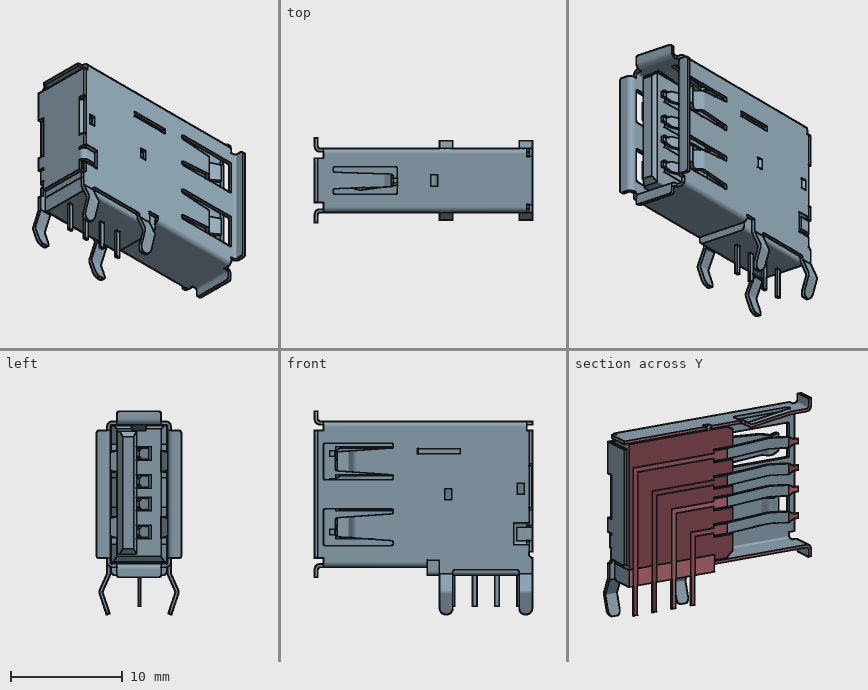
import cadquery as cq
import math


length = 19.5
sheet = 0.31
half_width = 2.87
half_height = 6.53
corner_radius = 0.49
inner_y = half_width - sheet
inner_z = half_height - sheet
overlap = 0.2
through = 19.5

box_front = 0.8
box_rear = 19.0
side_rear = length - sheet
flange_reach_y = 3.8
flange_reach_z = 7.43
flange_bend = 0.205
top_flange_half = 1.99
side_flange_half = 5.71
flange_corner = 0.23
top_tongue_half = 2.16

floor_end = 10.08
notch_top = -5.89
leg_width = 1.2
leg_fronts = (11.17, length - leg_width)
leg_bend_z = -7.1
skirt_z = -6.73
skirt_corner = 0.15
foot_top = -5.46
foot_chamfer = 0.21
knee_y = 3.59
knee_z = -8.72
leg_tip_y = 2.9
leg_tip_z = -10.76
knee_radius = 0.12

side_spring_z = 2.95
side_spring_root = 6.82
side_spring_tip = 2.03
side_spring_bend = 3.55
side_spring_crest = (3.02, -0.65)
side_spring_tip_depth = -0.04
side_window_front = box_front
side_window_rear = 7.04
side_window_half = 1.64
side_root_half = 1.19
side_tip_half = 0.84
top_spring_root = 2.15
top_spring_tip = 6.86
top_spring_crest = (6.24, -0.55)
top_spring_tip_depth = -0.18
top_window_front = 1.68
top_window_rear = 7.41
top_window_half = 1.238
top_root_half = 0.72
top_tip_half = 0.57
window_corner = 0.18
slot_end_radius = 0.18
tip_corner = 0.23
tip_overhang = 0.18
bend_inner = 0.14

barb_length = 0.62
barb_height = 0.98
barb_depth = 0.33
barb_play = 0.1
barb_places = ((11.66, 0.0), (18.14, 0.49))
slit_front, slit_rear = 9.18, 13.03
slit_bottom, slit_top = 3.6, 4.1
dimple_x = 10.715
dimple_radius = 0.31
dimple_rise = 0.08
dimple_width = 1.01

latch_z = -3.53
latch_height = 1.2
latch_front = 18.1
latch_bend = 0.18
seat_front = 17.8
seat_height = 1.97
seat_fillet = 0.3
seat_depth = sheet

cover_top = side_flange_half
cover_bottom = -5.15
cover_waist_half = 2.26
cover_upper_ear = 2.73
cover_ear_top, cover_ear_bottom = -1.4, -2.75
cover_lip_top, cover_lip_bottom = 2.54, -1.2
cover_lip_half = 2.52

contact_mid_z = 0.14
contact_offsets = (3.5, 1.005, -1.005, -3.5)
pin_pitch = 1.99
last_pin_x = 18.31
contact_sheet = 0.23
contact_width = 1.0
contact_tip_width = 0.5
pin_width = 0.4
pin_bottom = -10.02
tail_y = -0.146
contact_tip_x = 1.36
contact_shoulder_x = 1.85
contact_shoulder = 0.45
contact_bend_x = 1.8
contact_crest_x = 3.98
contact_crest_y = -0.9
contact_crest_radius = 1.17
contact_straight_x = 9.36
contact_tail_x = 10.14

clearance = 0.05
body_half = inner_y - clearance
body_top = inner_z - clearance
body_rear = box_rear
tongue_face = 0.21
tongue_back = 1.95
tongue_half = 5.5
tongue_front = 0.31
tongue_bevel = 0.5
tongue_back_bevel = 0.98
tongue_face_bevel = 0.27
tongue_edge = 0.15
nose_x = 8.19
nose_bevel = 0.55
nose_side_bevel = 0.98
nose_half = 1.99
nose_top, nose_bottom = 5.85, -5.55
body_bottom = -6.05
rib_top, rib_bottom = 1.48, -1.17
rib_bevel = 0.55
relief_inner, relief_outer = 2.03, 4.47
relief_depth = 1.07
groove_height = 1.2
groove_front = 1.9
groove_depth = 0.23
opening_y = -1.11
foot_x = 9.65
foot_key_half = 0.72

spacer_bottom = -7.25
spacer_top = -5.65
spacer_radius = 0.37


def block(x, y, z):
    """Box given by its ranges in X, Y and Z."""
    size = [end - start for start, end in (x, y, z)]
    return cq.Workplane("XY").box(*size, centered=False).translate((x[0], y[0], z[0]))


def both_sides(shape):
    """The shape and its mirror image across the XZ plane."""
    return shape.union(shape.mirror("XZ"))


def heading(start, end):
    return math.atan2(end[1] - start[1], end[0] - start[0])


def draw_rounded(drawing, path, radii):
    """Continue a drawing along a path, with an arc at each bend that has a radius."""
    for before, corner, after, radius in zip(path, path[1:], path[2:], radii):
        arrival, departure = heading(before, corner), heading(corner, after)
        turn = math.remainder(departure - arrival, 2 * math.pi)
        setback = radius * math.tan(abs(turn) / 2)
        if setback == 0:
            drawing = drawing.lineTo(*corner)
            continue
        inward = arrival + turn / 2 + math.copysign(math.pi / 2, turn)
        sagitta = radius / math.cos(turn / 2) - radius
        entry = (corner[0] - setback * math.cos(arrival), corner[1] - setback * math.sin(arrival))
        middle = (corner[0] + sagitta * math.cos(inward), corner[1] + sagitta * math.sin(inward))
        leave = (corner[0] + setback * math.cos(departure), corner[1] + setback * math.sin(departure))
        drawing = drawing.lineTo(*entry).threePointArc(middle, leave)
    return drawing.lineTo(*path[-1])


def strip_outline(plane, path, thickness, bend_radii):
    """Closed outline of a bent strip of sheet.

    The path is one face of the strip, and a positive thickness goes to its left.
    Each bend radius is that of the hollow side of the sheet.
    """
    headings = [heading(start, end) for start, end in zip(path, path[1:])]
    turns = [
        math.remainder(after - before, 2 * math.pi) for before, after in zip(headings, headings[1:])
    ]
    other_face = []
    for (u, v), before, turn in zip(path, headings[:1] + headings, [0] + turns + [0]):
        normal = before + turn / 2 + math.pi / 2
        mitre = thickness / math.cos(turn / 2)
        other_face.append((u + mitre * math.cos(normal), v + mitre * math.sin(normal)))
    path_radii = []
    other_radii = []
    for turn, radius in zip(turns, bend_radii):
        hollow_is_other_face = turn * thickness > 0
        full_radius = radius + abs(thickness) if radius > 0 else 0
        path_radii.append(full_radius if hollow_is_other_face else radius)
        other_radii.append(radius if hollow_is_other_face else full_radius)
    drawing = draw_rounded(plane.moveTo(*path[0]), path, path_radii)
    drawing = drawing.lineTo(*other_face[-1])
    return draw_rounded(drawing, other_face[::-1], other_radii[::-1]).close()


def on_top(shape):
    """Move a feature drawn on a wall whose outer face is z = 0 to the top wall."""
    return shape.translate((0, 0, half_height))


def on_side(shape):
    """Move such a feature to the -Y wall, its local y becoming Z."""
    return shape.rotate((0, 0, 0), (1, 0, 0), 90).translate((0, -half_width, 0))


def wall_cutter(x, y):
    """Cutter through one wall, drawn on z = 0."""
    return block(x, y, (-2 * sheet, sheet))


def shell_box():
    def bar(y, z, radius):
        section = cq.Workplane("YZ").workplane(offset=box_front).rect(2 * y, 2 * z)
        return section.extrude(box_rear - box_front).edges("|X").fillet(radius)

    tube = bar(half_width, half_height, corner_radius).cut(bar(inner_y, inner_z, corner_radius - sheet))
    open_floor = block((floor_end, through), (-through, through), (-through, notch_top))
    tongue = block((box_rear - overlap, length), (-top_tongue_half, top_tongue_half), (inner_z, half_height))
    return tube.cut(open_floor).union(tongue)


def flange(wall, reach, half_span):
    """Flared lip on the top wall; `wall` is the wall's outer distance from the axis."""
    outer_bend = flange_bend + sheet
    rise = math.sqrt(0.5)
    lip = (
        cq.Workplane("XZ")
        .moveTo(box_front, wall - sheet)
        .lineTo(outer_bend, wall - sheet)
        .threePointArc(
            (outer_bend * (1 - rise), wall + flange_bend - outer_bend * rise),
            (0, wall + flange_bend),
        )
        .lineTo(0, reach)
        .lineTo(sheet, reach)
        .lineTo(sheet, wall + flange_bend)
        .threePointArc(
            (outer_bend - flange_bend * rise, wall + flange_bend * (1 - rise)),
            (outer_bend, wall),
        )
        .lineTo(box_front, wall)
        .close()
        .extrude(half_span, both=True)
    )
    return lip.faces(">Z").edges("|X").fillet(flange_corner)


def mouth_flanges():
    axis = (0, 0, 0), (1, 0, 0)
    top = flange(half_height, flange_reach_z, top_flange_half)
    side = flange(half_width, flange_reach_y, side_flange_half)
    return [top, top.rotate(*axis, 180), side.rotate(*axis, 90), side.rotate(*axis, -90)]


def side_panel():
    """Flat -Y wall that reaches down to the legs and back to the rear."""
    front_leg, rear_leg = leg_fronts
    front_leg_rear = front_leg + leg_width
    outline = [
        (front_leg, side_flange_half),
        (side_rear, side_flange_half),
        (side_rear, foot_top),
        (side_rear + foot_chamfer, foot_top - foot_chamfer),
        (length, foot_top - foot_chamfer),
        (length, leg_bend_z),
        (rear_leg, leg_bend_z),
        (rear_leg, skirt_z - skirt_corner),
        (rear_leg - skirt_corner, skirt_z),
        (front_leg_rear + skirt_corner, skirt_z),
        (front_leg_rear, skirt_z - skirt_corner),
        (front_leg_rear, leg_bend_z),
        (front_leg, leg_bend_z),
    ]
    panel = cq.Workplane("XZ", origin=(0, -inner_y, 0)).polyline(outline).close()
    return panel.extrude(sheet)


def leg(front_x):
    """Kinked board leg on the -Y side with a round end."""
    path = [
        (-half_width, leg_bend_z + overlap),
        (-half_width, leg_bend_z),
        (-knee_y, knee_z),
        (-leg_tip_y, leg_tip_z),
    ]
    plane = cq.Workplane("YZ", origin=(front_x, 0, 0))
    bent = strip_outline(plane, path, sheet, (0, knee_radius)).extrude(leg_width)
    radius = leg_width / 2
    face = (
        cq.Workplane("XZ", origin=(front_x, 0, 0))
        .moveTo(0, 0)
        .lineTo(0, leg_tip_z + radius)
        .threePointArc((radius, leg_tip_z), (leg_width, leg_tip_z + radius))
        .lineTo(leg_width, 0)
        .close()
        .extrude(through, both=True)
    )
    return bent.intersect(face)


def spring_window(tip_end, slot_end, half, root, root_half):
    """Window around a finger: open past its tip, with a slot on each side of its root."""
    opening = wall_cutter(sorted((tip_end, slot_end)), (-half, half))
    finger_root = wall_cutter(sorted((root, 2 * slot_end - root)), (-root_half, root_half))
    tip_side, slot_side = ("<X", ">X") if tip_end < root else (">X", "<X")
    opening = opening.edges("|Z").edges(tip_side).fillet(window_corner)
    return opening.cut(finger_root).faces(slot_side).edges("|Z").fillet(slot_end_radius)


def spring(profile, bend_radii, root_half, tip_half):
    """Tapered finger; the profile is in X and Z, the first point lies inside the wall."""
    root, tip = profile[1][0], profile[-1][0]
    inward = sheet if tip < root else -sheet
    finger = strip_outline(cq.Workplane("XZ"), profile, inward, bend_radii)
    finger = finger.extrude(root_half, both=True)
    end = tip + math.copysign(tip_overhang, tip - root)
    taper = [
        (profile[0][0], root_half),
        (root, root_half),
        (end, tip_half),
        (end, -tip_half),
        (root, -root_half),
        (profile[0][0], -root_half),
    ]
    shape = cq.Workplane("XY").polyline(taper).close().extrude(through, both=True)
    shape = shape.edges("|Z").edges("<X" if tip < root else ">X").fillet(tip_corner)
    return finger.intersect(shape)


def side_spring():
    profile = [
        (side_spring_root + overlap, 0),
        (side_spring_root, 0),
        (side_spring_bend, 0),
        side_spring_crest,
        (side_spring_tip, side_spring_tip_depth),
    ]
    radii = (0, bend_inner, bend_inner)
    return on_side(spring(profile, radii, side_root_half, side_tip_half))


def top_spring():
    profile = [
        (top_spring_root - overlap, 0),
        (top_spring_root, 0),
        top_spring_crest,
        (top_spring_tip, top_spring_tip_depth),
    ]
    radii = (0, bend_inner)
    return on_top(spring(profile, radii, top_root_half, top_tip_half))


def barb(x):
    """Pressed-in flap whose front end is free."""
    rear = x + barb_length
    path = [(rear + overlap, 0), (rear, 0), (x, -barb_depth)]
    flap = strip_outline(cq.Workplane("XZ"), path, sheet, (0,))
    return flap.extrude(barb_height / 2, both=True)


def barb_window(x):
    return wall_cutter((x, x + barb_length), (-barb_height / 2, barb_height / 2))


def latch_seat():
    """Recess for the latch, with rounded upper and lower walls."""
    z_range = (latch_z - seat_height / 2, latch_z + seat_height / 2)
    seat = block((seat_front, side_rear + overlap), (-half_width - overlap, seat_depth - half_width), z_range)
    return seat.faces(">Y").edges("|X").fillet(seat_fillet)


def latch_pad():
    """Pressed-in wall behind the latch recess."""
    reach = seat_height / 2 + sheet
    return block(
        (seat_front - sheet, box_rear),
        (-half_width + seat_depth, -half_width + seat_depth + sheet),
        (latch_z - reach, latch_z + reach),
    )


def dimple():
    cylinder = cq.Workplane("XZ").center(dimple_x, half_height + dimple_rise).circle(dimple_radius)
    return cylinder.extrude(dimple_width / 2, both=True)


def make_shell():
    shell = shell_box()
    for lip in mouth_flanges():
        shell = shell.union(lip)
    shell = shell.union(both_sides(side_panel()))
    for front_x in leg_fronts:
        shell = shell.union(both_sides(leg(front_x)))

    side_window = spring_window(
        side_window_front, side_window_rear, side_window_half, side_spring_root, side_root_half
    )
    for z in (side_spring_z, -side_spring_z):
        shell = shell.cut(both_sides(on_side(side_window).translate((0, 0, z))))
        shell = shell.union(both_sides(side_spring().translate((0, 0, z))))
    top_window = spring_window(
        top_window_rear, top_window_front, top_window_half, top_spring_root, top_root_half
    )
    shell = shell.cut(on_top(top_window)).union(top_spring())

    for x, z in barb_places:
        shell = shell.cut(both_sides(on_side(barb_window(x)).translate((0, 0, z))))
        shell = shell.union(both_sides(on_side(barb(x)).translate((0, 0, z))))
    slit = on_side(wall_cutter((slit_front, slit_rear), (slit_bottom, slit_top)))
    shell = shell.cut(both_sides(slit)).cut(dimple())
    return shell.cut(both_sides(latch_seat())).union(both_sides(latch_pad()))


def hook(front, outer_half, z_range):
    """Edge of the back cover bent forward on the -Y side."""
    low, high = z_range
    path = [(front, -outer_half), (length, -outer_half), (length, 0)]
    plane = cq.Workplane("XY", origin=(0, 0, low))
    return strip_outline(plane, path, sheet, (latch_bend,)).extrude(high - low)


def make_back_cover():
    def plate(half, z_range):
        return block((side_rear, length), (-half, half), z_range)

    latch = hook(latch_front, half_width, (latch_z - latch_height / 2, latch_z + latch_height / 2))
    lip = hook(box_rear, cover_lip_half, (cover_lip_bottom, cover_lip_top))
    cover = plate(cover_waist_half, (cover_bottom, cover_top))
    cover = cover.union(plate(half_width, (cover_upper_ear, cover_top)))
    cover = cover.union(plate(half_width, (cover_ear_bottom, cover_ear_top)))
    return cover.union(both_sides(latch)).union(both_sides(lip))


def make_contact(z, pin_x):
    """Spring blade in the mouth whose tail turns down into a board pin."""
    path = [
        (contact_tip_x, tongue_face - contact_sheet),
        (contact_bend_x, tongue_face - contact_sheet),
        (contact_crest_x, contact_crest_y),
        (contact_straight_x, tail_y),
        (contact_tail_x, tail_y),
    ]
    blade = cq.Workplane("XY", origin=(0, 0, z - contact_width / 2))
    radii = (0, contact_crest_radius, 0)
    blade = strip_outline(blade, path, contact_sheet, radii).extrude(contact_width)
    tip, half = contact_tip_width / 2, contact_width / 2
    face = [
        (contact_tip_x, z - tip),
        (contact_shoulder_x, z - tip),
        (contact_shoulder_x + contact_shoulder, z - half),
        (contact_tail_x, z - half),
        (contact_tail_x, z + half),
        (contact_shoulder_x + contact_shoulder, z + half),
        (contact_shoulder_x, z + tip),
        (contact_tip_x, z + tip),
    ]
    blade = blade.intersect(cq.Workplane("XZ").polyline(face).close().extrude(through, both=True))
    half_pin = pin_width / 2
    tail_range = (tail_y, tail_y + contact_sheet)
    tail = block((contact_tail_x - overlap, pin_x + half_pin), tail_range, (z - half_pin, z + half_pin))
    pin = block((pin_x - half_pin, pin_x + half_pin), tail_range, (pin_bottom, z))
    return blade.union(tail).union(pin)


def tongue():
    bar = block(
        (tongue_front, nose_x + overlap),
        (tongue_face, tongue_back),
        (contact_mid_z - tongue_half, contact_mid_z + tongue_half),
    )
    bar = bar.edges("|X").fillet(tongue_edge)
    plan = [
        (nose_x + overlap, tongue_face),
        (tongue_front + tongue_bevel, tongue_face),
        (tongue_front, tongue_face + tongue_face_bevel),
        (tongue_front, tongue_back - tongue_bevel),
        (tongue_front + tongue_back_bevel, tongue_back),
        (nose_x + overlap, tongue_back),
    ]
    end_half = tongue_half - tongue_bevel
    side = [
        (nose_x + overlap, contact_mid_z - tongue_half),
        (tongue_front + tongue_bevel, contact_mid_z - tongue_half),
        (tongue_front, contact_mid_z - end_half),
        (tongue_front, contact_mid_z + end_half),
        (tongue_front + tongue_bevel, contact_mid_z + tongue_half),
        (nose_x + overlap, contact_mid_z + tongue_half),
    ]
    bar = bar.intersect(cq.Workplane("XY").polyline(plan).close().extrude(through, both=True))
    return bar.intersect(cq.Workplane("XZ").polyline(side).close().extrude(through, both=True))


def bevelled_plan(bevel):
    """Plan of the housing body with a bevelled front."""
    return cq.Workplane("XY").polyline([
        (body_rear, -body_half),
        (nose_x + bevel, -body_half),
        (nose_x, -nose_half),
        (nose_x, nose_half),
        (nose_x + bevel, body_half),
        (body_rear, body_half),
    ]).close()


def housing_body():
    side = [
        (body_rear, spacer_top),
        (floor_end, spacer_top),
        (floor_end, body_bottom),
        (nose_x + nose_bevel, body_bottom),
        (nose_x, nose_bottom),
        (nose_x, nose_top),
        (nose_x + nose_bevel, body_top),
        (body_rear, body_top),
    ]
    body = bevelled_plan(nose_side_bevel).extrude(through, both=True)
    body = body.intersect(cq.Workplane("XZ").polyline(side).close().extrude(through, both=True))
    rib = bevelled_plan(rib_bevel).extrude(rib_top - rib_bottom).translate((0, 0, rib_bottom))
    foot = block((foot_x, floor_end), (-body_half, body_half), (-body_top, body_bottom))
    foot = foot.union(
        block((nose_x + nose_bevel, foot_x), (-foot_key_half, foot_key_half), (-body_top, body_bottom))
    )
    return body.union(rib).union(foot)


def housing_cutters():
    """Contact slots, and recesses for the springs, barbs and latch pads of the shell."""
    cutters = []
    for offset in contact_offsets:
        z = contact_mid_z + offset
        z_range = (z - groove_height / 2, z + groove_height / 2)
        cutters.append(block((groove_front, contact_tail_x), (opening_y, tongue_face), z_range))
        cutters.append(block((groove_front, nose_x), (opening_y, tongue_face + groove_depth), z_range))
    for z_range in ((relief_inner, relief_outer), (-relief_outer, -relief_inner)):
        relief = block((nose_x, nose_x + relief_depth), (-through, -nose_half), z_range)
        cutters.append(both_sides(relief))
    for x, z in barb_places:
        pocket = block(
            (x - barb_play, x + barb_length + barb_play),
            (-half_width, barb_depth + sheet - half_width),
            (z - barb_height / 2, z + barb_height / 2),
        )
        cutters.append(both_sides(pocket))
    cutters.append(both_sides(latch_pad()))
    return cutters


def make_housing(contacts):
    housing = housing_body().union(tongue())
    for cutter in housing_cutters():
        housing = housing.cut(cutter)
    for contact in contacts:
        housing = housing.cut(contact)
    return housing


def make_spacer(contacts):
    spacer = block((floor_end, body_rear), (-body_half, body_half), (spacer_bottom, spacer_top))
    spacer = spacer.faces("<Z").edges("|X").fillet(spacer_radius)
    for contact in contacts:
        spacer = spacer.cut(contact)
    return spacer


shell = make_shell()
back_cover = make_back_cover()
contacts = [
    make_contact(contact_mid_z + offset, last_pin_x - number * pin_pitch)
    for number, offset in enumerate(contact_offsets)
]
housing = make_housing(contacts)
spacer = make_spacer(contacts)

bodies = [shell, back_cover, housing, spacer, *contacts]
result = cq.Compound.makeCompound([body.solids().val() for body in bodies])